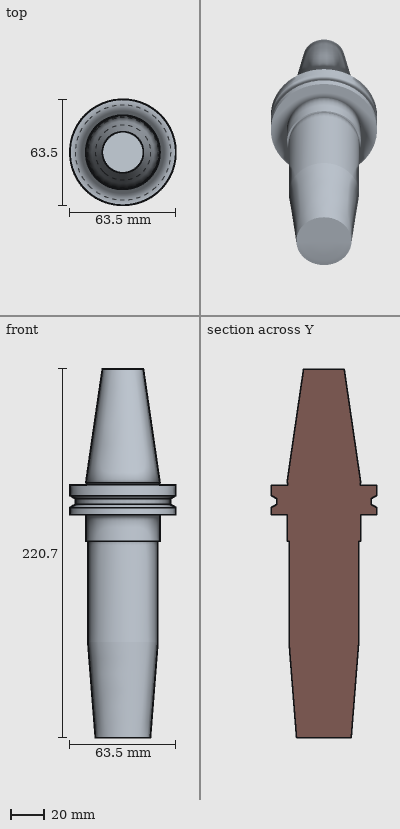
import math

import cadquery as cq


gauge_diameter = 44.45
taper_length = 68.25
taper_ratio = 7 / 24
taper_end_diameter = gauge_diameter - taper_ratio * taper_length

neck_diameter = 43.5
neck_length = 1.2

flange_diameter = 63.5
flange_bottom_z = -19.05
groove_center_z = -11.13
groove_floor_diameter = 57.0
groove_floor_width = 3.4
groove_flank_angle = 30

collar_diameter = gauge_diameter
collar_bottom_z = -35.0
body_diameter = 42.0
nose_diameter = 33.0
nose_half_angle = 4.5
nose_z = -152.4


def revolved(profile):
    """Revolve (radius, z) points about the Z axis; the profile closes along the axis."""
    top_z = profile[0][1]
    bottom_z = profile[-1][1]
    points = [(0, top_z)] + profile + [(0, bottom_z)]
    return cq.Workplane("XZ").polyline(points).close().revolve(360, (0, 0), (0, 1))


def make_taper():
    """Steep taper and the relief neck that joins it to the flange."""
    return revolved([
        (taper_end_diameter / 2, taper_length),
        (gauge_diameter / 2, 0),
        (neck_diameter / 2, 0),
        (neck_diameter / 2, -neck_length),
    ])


def make_flange():
    """Round flange with a V-groove around its rim."""
    rim_radius = flange_diameter / 2
    floor_radius = groove_floor_diameter / 2
    flank_height = (rim_radius - floor_radius) * math.tan(math.radians(groove_flank_angle))
    floor_half_width = groove_floor_width / 2
    mouth_half_width = floor_half_width + flank_height
    return revolved([
        (rim_radius, -neck_length),
        (rim_radius, groove_center_z + mouth_half_width),
        (floor_radius, groove_center_z + floor_half_width),
        (floor_radius, groove_center_z - floor_half_width),
        (rim_radius, groove_center_z - mouth_half_width),
        (rim_radius, flange_bottom_z),
    ])


def make_body():
    """Collar, straight body and conical nose."""
    nose_taper_height = (body_diameter - nose_diameter) / 2 / math.tan(math.radians(nose_half_angle))
    nose_start_z = nose_z + nose_taper_height
    return revolved([
        (collar_diameter / 2, flange_bottom_z),
        (collar_diameter / 2, collar_bottom_z),
        (body_diameter / 2, collar_bottom_z),
        (body_diameter / 2, nose_start_z),
        (nose_diameter / 2, nose_z),
    ])


result = make_taper().union(make_flange()).union(make_body())